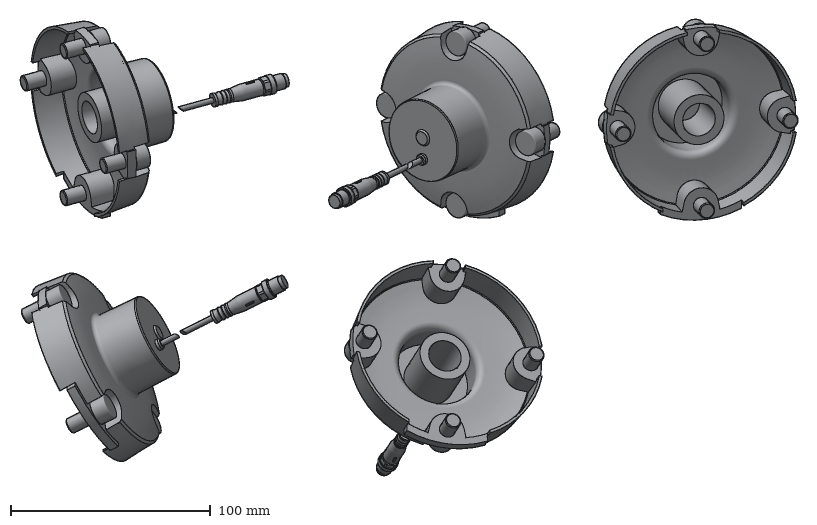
import cadquery as cq
import math


RIM_FRONT_RADIUS = 49.1
RIM_BACK_RADIUS = 47.6
CAVITY_FRONT_RADIUS = 47.6
CAVITY_BACK_RADIUS = 46.9
CAVITY_BACK_Y = 16.0
RIM_BACK_Y = 17.0
DOME_EDGE = (46.3, 18.2)
DOME_MIDDLE = (36.1, 19.6)
DOME_CENTER_Y = 20.1
SKIN = 1.4
FLOOR_CHAMFER = 0.5

HUB_BASE_RADIUS = 22.0
HUB_TOP_RADIUS = 21.6
HUB_TOP_Y = 44.5
HUB_BASE_Y = 22.3
HUB_TOP_CHAMFER = 0.8
RECESS_RADIUS = 20.2
RECESS_MOUTH_RADIUS = 24.0
RECESS_FLOOR_Y = 37.0
TUBE_DIAMETER = 26.0
BORE_DIAMETER = 17.0
TUBE_FRONT_Y = 8.0

BOLT_CIRCLE_RADIUS = 87.0 / 2
LUG_FRONT_Y = 4.1
LUG_BACK_Y = 8.9
LUG_BACK_RADIUS = 49.5
LUG_FRONT_RADIUS = 49.2
LUG_WIDTH = 16.0
RIM_GAP_WIDTH = 16.7
POCKET_RADIUS = 8.0
POCKET_WALL = 1.0
FLANK_ANGLE = 12.0
BOLT_DIAMETER = 8.0
BOLT_TIP_Y = -6.9
BOLT_HEAD_DIAMETER = 13.0
BOLT_HEAD_Y = 16.8
BOLT_CHAMFER = 0.5
QUARTER_TURNS = (0, 90, 180, 270)

WIDE_LUG_RADIUS = 102.5 / 2
WIDE_LUG_WIDTH = 42.0

BUTTON_Z = 1.6
BUTTON_BASE_DIAMETER = 8.5
BUTTON_TOP_DIAMETER = 6.9
BUTTON_HEIGHT = 1.0

CABLE_Z = -9.8
CABLE_DIAMETER = 2.9
CABLE_SLANT = 45.0
STUB_END_Y = 55.5
PLUG_CABLE_END_Y = 59.4
GLAND_BASE_DIAMETER = 5.8
GLAND_TOP_DIAMETER = 4.8
GLAND_STRAIGHT = 1.5
GLAND_HEIGHT = 2.4

PLUG_BACK_Y = 77.3
PLUG_TIP_Y = 118.6
RIB_DIAMETER = 7.0
GROOVE_DEPTH = 0.4
GRIP_TAPER_Y = 88.1
GRIP_BACK_Y = 93.1
GRIP_FRONT_Y = 103.9
GRIP_DIAMETER = 8.5
NECK_DIAMETER = 5.9
NUT_BACK_Y = 104.7
NUT_RING_Y = 108.0
NUT_RING_FRONT_Y = 110.8
NUT_DIAMETER = 9.5
NUT_RING_DIAMETER = 10.0
NUT_ACROSS_FLATS = 8.8
NUT_FLATS = 6
BARREL_BACK_Y = 111.5
BARREL_DIAMETER = 8.0
TIP_BACK_Y = 116.7
TIP_DIAMETER = 7.0
MARK_WIDTH = 1.0
MARK_LENGTH = 4.8
MARK_Y = 98.4
MARK_RISE = 0.3
SLEEVE_GROOVES = ((78.7, 81.3), (81.7, 83.6), (84.0, 85.5), (86.2, 87.3))


def revolve_about_y(profile):
    """Turn a closed (radius, y) outline about the Y axis."""
    return profile.close().revolve(360, (0, 0, 0), (0, 1, 0))


def cylinder_y(diameter, start_y, end_y, x=0.0, z=0.0):
    """A round bar along Y."""
    axis = cq.Vector(0, 1, 0)
    return cq.Workplane(cq.Solid.makeCylinder(diameter / 2, end_y - start_y, cq.Vector(x, start_y, z), axis))


def cone_y(start_diameter, end_diameter, start_y, end_y, z=0.0):
    """A truncated cone along Y."""
    return cq.Workplane(
        cq.Solid.makeCone(
            start_diameter / 2, end_diameter / 2, end_y - start_y, cq.Vector(0, start_y, z), cq.Vector(0, 1, 0)
        )
    )


def box_between(x_range, y_range, z_range):
    """A box given by its low and high limit along each axis."""
    sizes = [high - low for low, high in (x_range, y_range, z_range)]
    return cq.Workplane(
        cq.Solid.makeBox(*sizes, cq.Vector(x_range[0], y_range[0], z_range[0]))
    )


def prism_y(wire_sketch, start_y, end_y):
    """Extrude an outline drawn on the XZ workplane from start_y to end_y."""
    return wire_sketch.extrude(-(end_y - start_y)).translate((0, start_y, 0))


def turned(body, angle):
    """The body turned about the Y axis."""
    return body.rotate((0, 0, 0), (0, 1, 0), angle)



def outer_shell():
    hub_fillet_x = HUB_BASE_RADIUS + 2.5
    fillet_mid = (HUB_BASE_RADIUS + 0.6, DOME_CENTER_Y + 0.6)
    hub_rim = HUB_TOP_RADIUS - 0.4
    profile = (
        cq.Workplane("XY")
        .moveTo(0, 0)
        .lineTo(RIM_FRONT_RADIUS, 0)
        .lineTo(RIM_BACK_RADIUS, RIM_BACK_Y)
        .lineTo(*DOME_EDGE)
        .threePointArc(DOME_MIDDLE, (hub_fillet_x, DOME_CENTER_Y))
        .threePointArc(fillet_mid, (HUB_BASE_RADIUS, HUB_BASE_Y))
        .lineTo(HUB_TOP_RADIUS, HUB_TOP_Y - HUB_TOP_CHAMFER)
        .lineTo(hub_rim, HUB_TOP_Y)
        .lineTo(0, HUB_TOP_Y)
    )
    return revolve_about_y(profile)


def cup_cavity():
    profile = (
        cq.Workplane("XY")
        .moveTo(0, 0)
        .lineTo(CAVITY_FRONT_RADIUS, 0)
        .lineTo(CAVITY_BACK_RADIUS, CAVITY_BACK_Y)
        .lineTo(CAVITY_BACK_RADIUS - FLOOR_CHAMFER, CAVITY_BACK_Y + FLOOR_CHAMFER)
        .threePointArc((DOME_MIDDLE[0], DOME_MIDDLE[1] - SKIN), (RECESS_MOUTH_RADIUS, DOME_CENTER_Y - SKIN))
        .lineTo(0, DOME_CENTER_Y - SKIN)
    )
    return revolve_about_y(profile)


def hub_recess():
    mouth_y = DOME_CENTER_Y - SKIN
    radius = RECESS_MOUTH_RADIUS - RECESS_RADIUS
    sag = radius * (1 - math.sqrt(0.5))
    profile = (
        cq.Workplane("XY")
        .moveTo(0, mouth_y)
        .lineTo(RECESS_MOUTH_RADIUS, mouth_y)
        .threePointArc((RECESS_RADIUS + sag, mouth_y + sag), (RECESS_RADIUS, mouth_y + radius))
        .lineTo(RECESS_RADIUS, RECESS_FLOOR_Y)
        .lineTo(0, RECESS_FLOOR_Y)
    )
    return revolve_about_y(profile)


def center_tube():
    outside = cylinder_y(TUBE_DIAMETER, TUBE_FRONT_Y, RECESS_FLOOR_Y)
    return outside.cut(cylinder_y(BORE_DIAMETER, TUBE_FRONT_Y, RECESS_FLOOR_Y))


def horseshoe(radius):
    """Outline round the top bolt: an inner arc with flanks that spread outward past the rim."""
    angle = math.radians(FLANK_ANGLE)
    tangent_x = radius * math.cos(angle)
    tangent_z = BOLT_CIRCLE_RADIUS - radius * math.sin(angle)
    outer_z = WIDE_LUG_RADIUS + 1.3
    outer_x = tangent_x + (outer_z - tangent_z) * math.tan(angle)
    return (
        cq.Workplane("XZ")
        .moveTo(outer_x, outer_z)
        .lineTo(tangent_x, tangent_z)
        .threePointArc((0, BOLT_CIRCLE_RADIUS - radius), (-tangent_x, tangent_z))
        .lineTo(-outer_x, outer_z)
        .close()
    )


def bolt():
    shaft = cylinder_y(BOLT_DIAMETER, BOLT_TIP_Y, LUG_BACK_Y, z=BOLT_CIRCLE_RADIUS)
    head = cylinder_y(BOLT_HEAD_DIAMETER, LUG_BACK_Y, BOLT_HEAD_Y, z=BOLT_CIRCLE_RADIUS)
    return shaft.faces("<Y").chamfer(BOLT_CHAMFER).union(head.faces(">Y").fillet(BOLT_CHAMFER))


def cavity_around_pockets():
    """The inside of the cup, less the four walls that stand in it around the bolt pockets."""
    cavity = cup_cavity()
    wall = prism_y(horseshoe(POCKET_RADIUS + POCKET_WALL), LUG_FRONT_Y, HUB_BASE_Y)
    for angle in QUARTER_TURNS:
        cavity = cavity.cut(turned(wall, angle))
    return cavity


def add_lugs(cup):
    """Open a pocket from the back, a lug and a gap in the rim at each quarter turn, and add its bolt."""
    pocket = prism_y(horseshoe(POCKET_RADIUS), LUG_BACK_Y, HUB_BASE_Y)
    half_gap = RIM_GAP_WIDTH / 2
    gap = box_between((-half_gap, half_gap), (0, LUG_FRONT_Y), (BOLT_CIRCLE_RADIUS, WIDE_LUG_RADIUS))
    half_lug = LUG_WIDTH / 2
    lug = box_between(
        (-half_lug, half_lug), (LUG_FRONT_Y, LUG_BACK_Y), (BOLT_CIRCLE_RADIUS, WIDE_LUG_RADIUS)
    ).intersect(cone_y(2 * LUG_FRONT_RADIUS, 2 * LUG_BACK_RADIUS, LUG_FRONT_Y, LUG_BACK_Y))
    for angle in QUARTER_TURNS:
        cup = cup.cut(turned(pocket, angle)).cut(turned(gap, angle))
        cup = cup.union(turned(lug, angle)).union(turned(bolt(), angle))
    return cup


def wide_lug():
    half = WIDE_LUG_WIDTH / 2
    outside = cylinder_y(2 * WIDE_LUG_RADIUS, LUG_FRONT_Y, LUG_BACK_Y)
    inside = cylinder_y(2 * CAVITY_FRONT_RADIUS, LUG_FRONT_Y, LUG_BACK_Y)
    block = box_between((-half, half), (LUG_FRONT_Y, LUG_BACK_Y), (-WIDE_LUG_RADIUS, 0))
    return outside.cut(inside).intersect(block)


def wide_lug_gap():
    half = WIDE_LUG_WIDTH / 2
    return box_between((-half, half), (0, LUG_FRONT_Y), (-WIDE_LUG_RADIUS, 0))


def button():
    top_y = HUB_TOP_Y + BUTTON_HEIGHT
    return cone_y(BUTTON_BASE_DIAMETER, BUTTON_TOP_DIAMETER, HUB_TOP_Y, top_y, BUTTON_Z)


def make_housing():
    cup = outer_shell().cut(cavity_around_pockets()).cut(hub_recess()).union(center_tube())
    cup = cup.cut(wide_lug_gap()).union(wide_lug())
    return add_lugs(cup).union(button())



def cable(start_y, end_y):
    return cylinder_y(CABLE_DIAMETER, start_y, end_y, z=CABLE_Z)


def beyond_slant(middle_y):
    """A block on the +Y side of the slanted cut that crosses the cable axis at middle_y."""
    size = 4 * CABLE_DIAMETER
    half = size / 2
    block = box_between((-half, half), (0, size), (-half, half))
    return block.rotate((0, 0, 0), (1, 0, 0), CABLE_SLANT).translate((0, middle_y, CABLE_Z))


def make_cable_stub():
    straight_end = HUB_TOP_Y + GLAND_STRAIGHT
    gland_end = HUB_TOP_Y + GLAND_HEIGHT
    stub = cable(HUB_TOP_Y, STUB_END_Y + CABLE_DIAMETER).cut(beyond_slant(STUB_END_Y))
    base = cylinder_y(GLAND_BASE_DIAMETER, HUB_TOP_Y, straight_end, z=CABLE_Z)
    taper = cone_y(GLAND_BASE_DIAMETER, GLAND_TOP_DIAMETER, straight_end, gland_end, CABLE_Z)
    return stub.union(base).union(taper)


def plug_body():
    sleeve = RIB_DIAMETER / 2
    profile = cq.Workplane("XY").moveTo(0, PLUG_BACK_Y).lineTo(sleeve, PLUG_BACK_Y)
    for start_y, end_y in SLEEVE_GROOVES:
        middle = (sleeve - GROOVE_DEPTH, (start_y + end_y) / 2)
        profile = profile.lineTo(sleeve, start_y).threePointArc(middle, (sleeve, end_y))
    profile = (
        profile.lineTo(sleeve, GRIP_TAPER_Y)
        .lineTo(GRIP_DIAMETER / 2, GRIP_BACK_Y)
        .lineTo(GRIP_DIAMETER / 2, GRIP_FRONT_Y)
        .lineTo(NECK_DIAMETER / 2, GRIP_FRONT_Y)
        .lineTo(NECK_DIAMETER / 2, NUT_BACK_Y)
        .lineTo(NUT_DIAMETER / 2, NUT_BACK_Y)
        .lineTo(NUT_DIAMETER / 2, NUT_RING_Y)
        .lineTo(NUT_RING_DIAMETER / 2, NUT_RING_Y)
        .lineTo(NUT_RING_DIAMETER / 2, NUT_RING_FRONT_Y)
        .lineTo(GRIP_DIAMETER / 2, NUT_RING_FRONT_Y)
        .lineTo(BARREL_DIAMETER / 2, BARREL_BACK_Y)
        .lineTo(BARREL_DIAMETER / 2, TIP_BACK_Y)
        .lineTo(TIP_DIAMETER / 2, TIP_BACK_Y)
        .lineTo(TIP_DIAMETER / 2, PLUG_TIP_Y)
        .lineTo(0, PLUG_TIP_Y)
    )
    return revolve_about_y(profile)


def cut_nut_flats(plug):
    low = NUT_ACROSS_FLATS / 2
    flat = box_between((-low, low), (NUT_BACK_Y, NUT_RING_Y), (low, NUT_RING_DIAMETER))
    for index in range(NUT_FLATS):
        plug = plug.cut(turned(flat, index * 360 / NUT_FLATS))
    return plug


def grip_mark():
    """A raised slot-shaped bar right through the grip, showing on both sides."""
    height = GRIP_DIAMETER + 2 * MARK_RISE
    return (
        cq.Workplane("XY")
        .center(0, MARK_Y)
        .slot2D(MARK_LENGTH, MARK_WIDTH, 90)
        .extrude(height / 2, both=True)
    )


def make_plug():
    plug = cut_nut_flats(plug_body()).union(grip_mark()).translate((0, 0, CABLE_Z))
    tail = cable(PLUG_CABLE_END_Y - CABLE_DIAMETER, PLUG_BACK_Y).intersect(
        beyond_slant(PLUG_CABLE_END_Y).union(cable(PLUG_CABLE_END_Y + CABLE_DIAMETER, PLUG_BACK_Y))
    )
    return plug.union(tail)


housing = make_housing()
cable_stub = make_cable_stub()
plug = make_plug()

result = cq.Compound.makeCompound([housing.val(), cable_stub.val(), plug.val()])